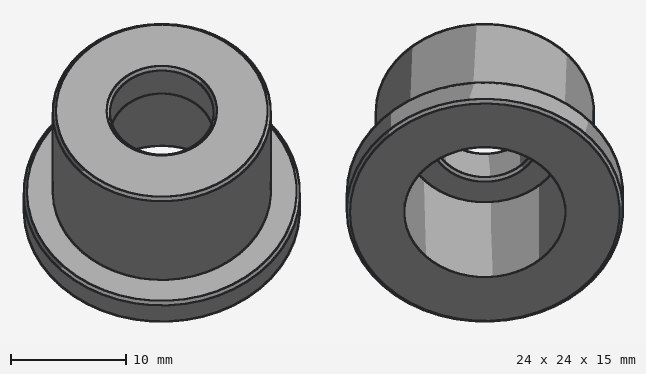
import cadquery as cq

flange_diameter = 24.0
flange_thickness = 3.0
total_height = 15.0
barrel_diameter = 18.95
bore_diameter = 9.0
edge_chamfer = 0.3

guide_length = 4.0
relief_diameter = 14.0
relief_depth = total_height - guide_length


def cylinder(diameter, height):
    """Cylinder on the Z axis standing on Z = 0."""
    return cq.Workplane("XY").circle(diameter / 2).extrude(height)


def make_body():
    """Flange chamfered on both rims, with the barrel chamfered at its top."""
    flange = cylinder(flange_diameter, flange_thickness).faces("<Z or >Z").chamfer(edge_chamfer)
    barrel = cylinder(barrel_diameter, total_height).faces(">Z").chamfer(edge_chamfer)
    return flange.union(barrel)


def make_bore():
    """Stepped through bore, with a lead-in cone at each end of the guiding length."""
    bore_radius = bore_diameter / 2
    mouth_radius = bore_radius + edge_chamfer
    profile = [
        (0, 0),
        (relief_diameter / 2, 0),
        (relief_diameter / 2, relief_depth),
        (mouth_radius, relief_depth),
        (bore_radius, relief_depth + edge_chamfer),
        (bore_radius, total_height - edge_chamfer),
        (mouth_radius, total_height),
        (0, total_height),
    ]
    return cq.Workplane("XZ").polyline(profile).close().revolve(360, (0, 0), (0, 1))


result = make_body().cut(make_bore())